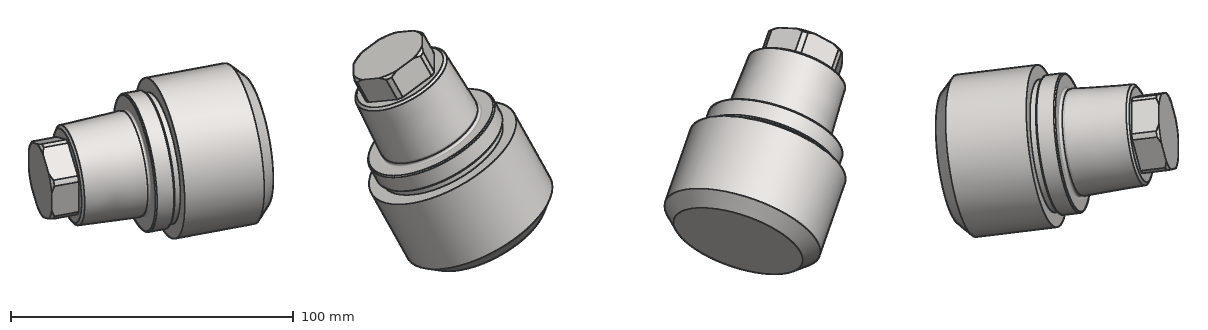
import cadquery as cq
import math


body_radius = 29.0
body_chamfer = 5.0
body_back_y = 44.0
body_front_y = 9.5
neck_radius = 23.75
collar_radius = 25.0
collar_width = 7.2
collar_chamfer = 0.5

taper_length = 25.0
gauge_radius = 19.05
gauge_distance = 5.0
radius_slope = 1 / 20
taper_start = 2.0
end_chamfer_length = 0.8
end_chamfer_depth = 1.1

undercut_radius = 18.95
undercut_cylinder_end = 1.05
undercut_ramp_end = 1.25
undercut_ramp_rise = 0.1
undercut_face_radius = 20.25
undercut_face_depth = 0.1
undercut_fillet = 0.65

hex_across_flats = 27.0
hex_corner_radius = 15.0
hex_length = 10.0
hex_chamfer = 1.0


def taper_radius(distance):
    """Radius of the taper at a distance in front of the collar face."""
    return gauge_radius - radius_slope * (distance - gauge_distance)


def make_shank():
    """Revolve everything except the hex drive around the Y axis."""
    fillet_outer_radius = undercut_radius + undercut_fillet
    fillet_end_y = undercut_face_depth - undercut_fillet
    fillet_offset = undercut_fillet * (1 - math.sqrt(0.5))
    fillet_middle = (undercut_radius + fillet_offset, undercut_face_depth - fillet_offset)
    chamfer_distance = taper_length - end_chamfer_length
    chamfer_radius = taper_radius(chamfer_distance)

    outline = (
        cq.Workplane("XY")
        .moveTo(0, body_back_y)
        .lineTo(body_radius - body_chamfer, body_back_y)
        .lineTo(body_radius, body_back_y - body_chamfer)
        .lineTo(body_radius, body_front_y)
        .lineTo(neck_radius, body_front_y)
        .lineTo(neck_radius, collar_width)
        .lineTo(collar_radius - collar_chamfer, collar_width)
        .lineTo(collar_radius, collar_width - collar_chamfer)
        .lineTo(collar_radius, collar_chamfer)
        .lineTo(collar_radius - collar_chamfer, 0)
        .lineTo(undercut_face_radius, 0)
        .lineTo(fillet_outer_radius, undercut_face_depth)
        .threePointArc(fillet_middle, (undercut_radius, fillet_end_y))
        .lineTo(undercut_radius, -undercut_cylinder_end)
        .lineTo(undercut_radius + undercut_ramp_rise, -undercut_ramp_end)
        .lineTo(taper_radius(taper_start), -taper_start)
        .lineTo(chamfer_radius, -chamfer_distance)
        .lineTo(chamfer_radius - end_chamfer_depth, -taper_length)
        .lineTo(0, -taper_length)
        .close()
    )
    return outline.revolve(360, (0, 0, 0), (0, 1, 0))


def make_hex_drive():
    """Hexagon with turned corners and a chamfered tip; two flats face +X and -X."""
    circumscribed_diameter = hex_across_flats / math.cos(math.pi / 6)
    end_plane = cq.Workplane("XZ", origin=(0, -taper_length, 0))
    hexagon = (
        end_plane
        .transformed(rotate=(0, 0, 90))
        .polygon(6, circumscribed_diameter)
        .extrude(hex_length)
    )
    turned_blank = (
        end_plane
        .circle(hex_corner_radius)
        .extrude(hex_length)
        .faces("<Y")
        .chamfer(hex_chamfer)
    )
    return hexagon.intersect(turned_blank)


result = make_shank().union(make_hex_drive())